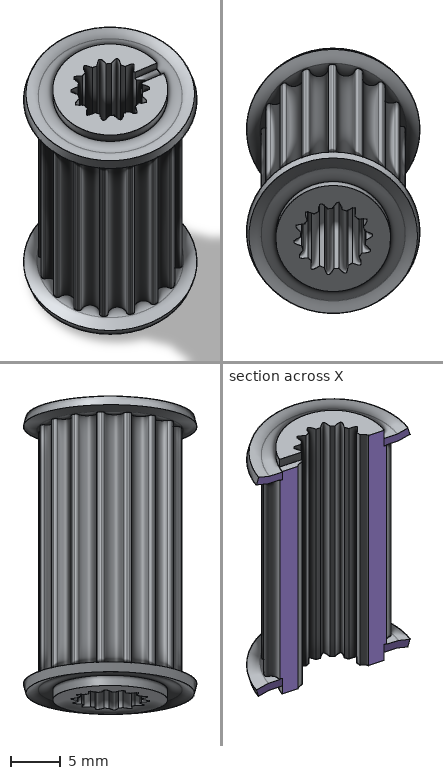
import math

import cadquery as cq

TOTAL_LENGTH = 30.15
FLANGE_RADIUS = 8.75
HUB_RADIUS = 5.8

FLANGE_THICKNESS = 1.0
FLANGE_BEND_RADIUS = 7.4
FLANGE_BEND_ANGLE = 15.0
HUB_PROJECTION = 1.05

GROOVE_COUNT = 16
TOOTH_RADIUS = 7.27
GROOVE_RADIUS = 0.95
GROOVE_DEPTH = 1.18
CREST_ROUND = 0.3

SPLINE_COUNT = 14
SPLINE_MAJOR_RADIUS = 3.98
SPLINE_MINOR_RADIUS = 3.3
SPLINE_MOUTH_WIDTH = 0.95
SPLINE_MIDDLE_WIDTH = 0.63

SLOT_WIDTH = 1.48
SLOT_DEPTH = 1.0

TEETH_BOTTOM = HUB_PROJECTION + FLANGE_THICKNESS
TEETH_TOP = TOTAL_LENGTH - TEETH_BOTTOM

TOLERANCE = 0.003


def polar_copies(body, count):
    """Copies of a body spaced evenly around the Z axis, the first one in place."""
    return [body.rotate((0, 0, 0), (0, 0, 1), index * 360 / count) for index in range(count)]


def make_belt_groove():
    """Cutter for one round-bottomed groove that opens along +X."""
    groove_bottom = TOOTH_RADIUS - GROOVE_DEPTH
    groove_centre = groove_bottom + GROOVE_RADIUS
    outside = TOOTH_RADIUS + GROOVE_RADIUS
    return (
        cq.Workplane("XY")
        .workplane(offset=TEETH_BOTTOM)
        .moveTo(outside, GROOVE_RADIUS)
        .lineTo(groove_centre, GROOVE_RADIUS)
        .threePointArc((groove_bottom, 0), (groove_centre, -GROOVE_RADIUS))
        .lineTo(outside, -GROOVE_RADIUS)
        .close()
        .extrude(TEETH_TOP - TEETH_BOTTOM)
    )


def is_crest_edge(edge):
    """True for an edge that lies on the tooth crests."""
    centre = edge.Center()
    return math.hypot(centre.x, centre.y) > TOOTH_RADIUS - TOLERANCE


def make_toothed_length():
    """Cylinder with belt grooves and rounded tooth crests."""
    teeth = (
        cq.Workplane("XY")
        .workplane(offset=TEETH_BOTTOM)
        .circle(TOOTH_RADIUS)
        .extrude(TEETH_TOP - TEETH_BOTTOM)
    )
    for groove in polar_copies(make_belt_groove(), GROOVE_COUNT):
        teeth = teeth.cut(groove)
    return teeth.edges("|Z").filter(is_crest_edge).fillet(CREST_ROUND)


def make_spline_space():
    """Cutter for one tapered spline space with a rounded root that points along +Y."""
    half_mouth = SPLINE_MOUTH_WIDTH / 2
    half_middle = SPLINE_MIDDLE_WIDTH / 2
    mouth_level = math.sqrt(SPLINE_MINOR_RADIUS**2 - half_mouth**2)
    middle_level = (SPLINE_MINOR_RADIUS + SPLINE_MAJOR_RADIUS) / 2
    flanks_and_root = [
        (-half_mouth, mouth_level),
        (-half_middle, middle_level),
        (0, SPLINE_MAJOR_RADIUS),
        (half_middle, middle_level),
        (half_mouth, mouth_level),
    ]
    return cq.Workplane("XY").spline(flanks_and_root).close().extrude(TOTAL_LENGTH)


def make_splined_bore():
    """Cutter for the splined bore through the whole length."""
    bore = cq.Workplane("XY").circle(SPLINE_MINOR_RADIUS).extrude(TOTAL_LENGTH)
    for space in polar_copies(make_spline_space(), SPLINE_COUNT):
        bore = bore.union(space)
    return bore


def make_drive_slot():
    """Cutter from the axis out past the +Y wall of the upper hub."""
    return (
        cq.Workplane("XY")
        .workplane(offset=TOTAL_LENGTH - SLOT_DEPTH)
        .center(0, FLANGE_RADIUS / 2)
        .rect(SLOT_WIDTH, FLANGE_RADIUS)
        .extrude(SLOT_DEPTH)
    )


def make_pulley():
    """Toothed pulley with a hub at each end, a splined bore and a drive slot."""
    hub = cq.Workplane("XY").circle(HUB_RADIUS).extrude(TOTAL_LENGTH)
    return hub.union(make_toothed_length()).cut(make_splined_bore()).cut(make_drive_slot())


def make_upper_flange():
    """Flange around the upper hub, its flat middle resting on the end of the teeth."""
    bend = math.radians(FLANGE_BEND_ANGLE)
    band_rise = (FLANGE_RADIUS - FLANGE_BEND_RADIUS) * math.tan(bend)
    rim_bottom = (FLANGE_RADIUS, TEETH_TOP + band_rise)
    rim_top = (
        rim_bottom[0] - FLANGE_THICKNESS * math.sin(bend),
        rim_bottom[1] + FLANGE_THICKNESS * math.cos(bend),
    )
    flat_top = TEETH_TOP + FLANGE_THICKNESS
    outer_bend_radius = FLANGE_BEND_RADIUS - FLANGE_THICKNESS * math.tan(bend / 2)
    section = [
        (HUB_RADIUS, TEETH_TOP),
        (FLANGE_BEND_RADIUS, TEETH_TOP),
        rim_bottom,
        rim_top,
        (outer_bend_radius, flat_top),
        (HUB_RADIUS, flat_top),
    ]
    return cq.Workplane("XZ").polyline(section).close().revolve(360, (0, 0, 0), (0, 1, 0))


def make_flanges():
    """The upper flange and its mirror image at the lower end."""
    upper_flange = make_upper_flange()
    lower_flange = upper_flange.mirror("XY", (0, 0, TOTAL_LENGTH / 2))
    return [upper_flange, lower_flange]


pulley = make_pulley()
flanges = make_flanges()
result = cq.Compound.makeCompound([pulley.solids().val(), *[flange.val() for flange in flanges]])